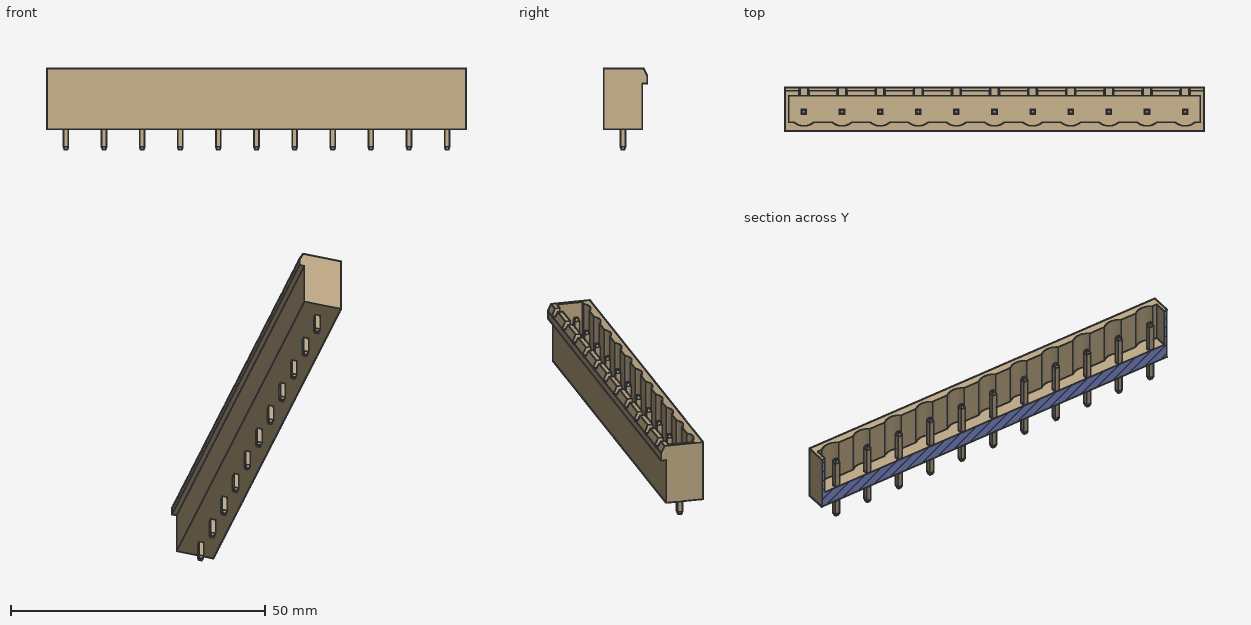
import cadquery as cq

PIN_COUNT = 11
PITCH = 7.5
PIN_WIDTH = 1.0
PIN_BELOW_BODY = 4.0
PIN_TIP_LENGTH = 0.6
PIN_TIP_WIDTH = 0.6
PIN_TOP_BELOW_RIM = 2.0

BODY_LENGTH = PIN_COUNT * PITCH
BODY_DEPTH = 7.6
BODY_HEIGHT = 12.0
BACK_Y = BODY_DEPTH / 2
FRONT_Y = -BACK_Y

LIP_OVERHANG = 1.0
LIP_HEIGHT = 3.0
LIP_BEVEL_DEPTH = 0.7
LIP_BEVEL_HEIGHT = 1.4

END_WALL = 0.75
BACK_WALL = 0.7
FRONT_WALL = 1.75
POCKET_DEPTH = 8.5
POCKET_FLOOR_Z = BODY_HEIGHT - POCKET_DEPTH
POCKET_LENGTH = BODY_LENGTH - 2 * END_WALL
POCKET_BACK_Y = BACK_Y - BACK_WALL
POCKET_FRONT_Y = FRONT_Y + FRONT_WALL

SCALLOP_WIDTH = 4.0
SCALLOP_SAG = 0.75

NOTCH_TOP_WIDTH = 2.0
NOTCH_FLOOR_WIDTH = 1.5
NOTCH_DEPTH = 1.5

PIN_XS = [(i - (PIN_COUNT - 1) / 2) * PITCH for i in range(PIN_COUNT)]


def make_housing():
    """Solid bar with the bevelled lip, extruded along X."""
    lip_y = BACK_Y + LIP_OVERHANG
    profile = [
        (FRONT_Y, 0),
        (BACK_Y, 0),
        (BACK_Y, BODY_HEIGHT - LIP_HEIGHT),
        (lip_y, BODY_HEIGHT - LIP_HEIGHT),
        (lip_y, BODY_HEIGHT - LIP_BEVEL_HEIGHT),
        (lip_y - LIP_BEVEL_DEPTH, BODY_HEIGHT),
        (FRONT_Y, BODY_HEIGHT),
    ]
    return cq.Workplane("YZ").polyline(profile).close().extrude(BODY_LENGTH / 2, both=True)


def make_pocket():
    """Open-topped cavity whose front side bulges forward at each pin."""
    half_length = POCKET_LENGTH / 2
    outline = (
        cq.Workplane("XY", origin=(0, 0, POCKET_FLOOR_Z))
        .moveTo(-half_length, POCKET_BACK_Y)
        .lineTo(-half_length, POCKET_FRONT_Y)
    )
    for x in PIN_XS:
        outline = outline.lineTo(x - SCALLOP_WIDTH / 2, POCKET_FRONT_Y).threePointArc(
            (x, POCKET_FRONT_Y - SCALLOP_SAG),
            (x + SCALLOP_WIDTH / 2, POCKET_FRONT_Y),
        )
    outline = outline.lineTo(half_length, POCKET_FRONT_Y).lineTo(half_length, POCKET_BACK_Y)
    return outline.close().extrude(POCKET_DEPTH)


def make_notch(x):
    """Trapezoidal cutter crossing the back wall and the lip."""
    floor_z = BODY_HEIGHT - NOTCH_DEPTH
    profile = [
        (x - NOTCH_FLOOR_WIDTH / 2, floor_z),
        (x + NOTCH_FLOOR_WIDTH / 2, floor_z),
        (x + NOTCH_TOP_WIDTH / 2, BODY_HEIGHT),
        (x - NOTCH_TOP_WIDTH / 2, BODY_HEIGHT),
    ]
    return (
        cq.Workplane("XZ", origin=(0, POCKET_BACK_Y, 0))
        .polyline(profile)
        .close()
        .extrude(-(BACK_WALL + LIP_OVERHANG))
    )


def make_pin(x):
    """Square pin with a pyramidal taper at both ends."""
    shank_bottom = PIN_TIP_LENGTH - PIN_BELOW_BODY
    shank_top = BODY_HEIGHT - PIN_TOP_BELOW_RIM - PIN_TIP_LENGTH

    def tip(z, direction):
        return (
            cq.Workplane("XY", origin=(x, 0, z))
            .rect(PIN_WIDTH, PIN_WIDTH)
            .workplane(offset=direction * PIN_TIP_LENGTH)
            .rect(PIN_TIP_WIDTH, PIN_TIP_WIDTH)
            .loft()
        )

    shank = (
        cq.Workplane("XY", origin=(x, 0, shank_bottom))
        .rect(PIN_WIDTH, PIN_WIDTH)
        .extrude(shank_top - shank_bottom)
    )
    return shank.union(tip(shank_bottom, -1)).union(tip(shank_top, 1))


result = make_housing().cut(make_pocket())
for pin_x in PIN_XS:
    result = result.cut(make_notch(pin_x))
for pin_x in PIN_XS:
    result = result.union(make_pin(pin_x))